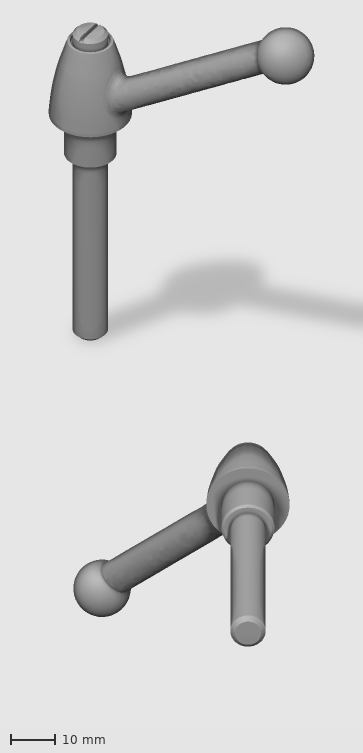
import cadquery as cq
import math

total_length = 68.4
total_height = 104.0

stud_chamfer = 1.0
sleeve_bottom = 49.7
hub_bottom = 61.2
hub_rim_height = 0.7
hub_waist_z = 71.3
hub_top = 81.3
screw_top = 84.0

stud_radius = 8.0 / 2
sleeve_radius = 12.0 / 2
sleeve_chamfer = 0.5
hub_radius = 18.8 / 2
hub_waist_radius = 8.1
hub_top_radius = 5.2
screw_radius = 8.0 / 2
screw_chamfer = 0.8

bore_radius = 4.6
bore_depth = 0.8

slot_width = 1.0
slot_depth = 1.0

ball_radius = 13.0 / 2
ball_x = total_length - hub_radius - ball_radius
ball_z = total_height - ball_radius
arm_width = 8.2
arm_height = 7.4
arm_angle = 34.0
arm_offset = 1.2
arm_root_x = 4.2
neck_fillet = 1.9
neck_margin = 2.1


def make_hub():
    rim_z = hub_bottom + hub_rim_height
    return (
        cq.Workplane("XZ")
        .moveTo(0, hub_bottom)
        .lineTo(hub_radius, hub_bottom)
        .lineTo(hub_radius, rim_z)
        .threePointArc((hub_waist_radius, hub_waist_z), (hub_top_radius, hub_top))
        .lineTo(0, hub_top)
        .close()
        .revolve(360, (0, 0), (0, 1))
    )


def make_arm():
    angle = math.radians(arm_angle)
    end_x = ball_x - arm_offset * math.sin(angle)
    end_z = ball_z + arm_offset * math.cos(angle)
    length = (end_x - arm_root_x) / math.cos(angle)
    root = (arm_root_x, 0, end_z - length * math.sin(angle))
    direction = (math.cos(angle), 0, math.sin(angle))
    section_plane = cq.Plane(origin=root, xDir=(0, 1, 0), normal=direction)
    return cq.Workplane(section_plane).ellipse(arm_width / 2, arm_height / 2).extrude(length)


def make_handle():
    joined = make_hub().union(make_arm())
    reach = hub_radius + neck_margin
    neck_box = cq.selectors.BoxSelector(
        (hub_top_radius, -reach, hub_bottom + neck_margin),
        (reach, reach, hub_top - neck_margin),
    )
    neck_edges = joined.edges(neck_box)
    necked = neck_edges.fillet(neck_fillet)
    ball = cq.Workplane("XY").sphere(ball_radius).translate((ball_x, 0, ball_z))
    return necked.union(ball)


def make_stud():
    stud = cq.Workplane("XY").circle(stud_radius).extrude(hub_bottom)
    stud = stud.faces("<Z").chamfer(stud_chamfer)
    sleeve = (
        cq.Workplane("XY")
        .workplane(offset=sleeve_bottom)
        .circle(sleeve_radius)
        .extrude(hub_bottom - sleeve_bottom)
        .faces("<Z")
        .chamfer(sleeve_chamfer)
    )
    return stud.union(sleeve)


def make_screw_head():
    floor_z = hub_top - bore_depth
    head = (
        cq.Workplane("XY")
        .workplane(offset=floor_z)
        .circle(screw_radius)
        .extrude(screw_top - floor_z)
        .faces(">Z")
        .chamfer(screw_chamfer)
    )
    slot = (
        cq.Workplane("XY")
        .workplane(offset=screw_top - slot_depth)
        .rect(slot_width, 2 * hub_radius)
        .extrude(slot_depth)
    )
    return head.cut(slot)


def make_bore():
    return cq.Workplane("XY").workplane(offset=hub_top - bore_depth).circle(bore_radius).extrude(bore_depth)


result = make_handle().cut(make_bore()).union(make_screw_head()).union(make_stud())